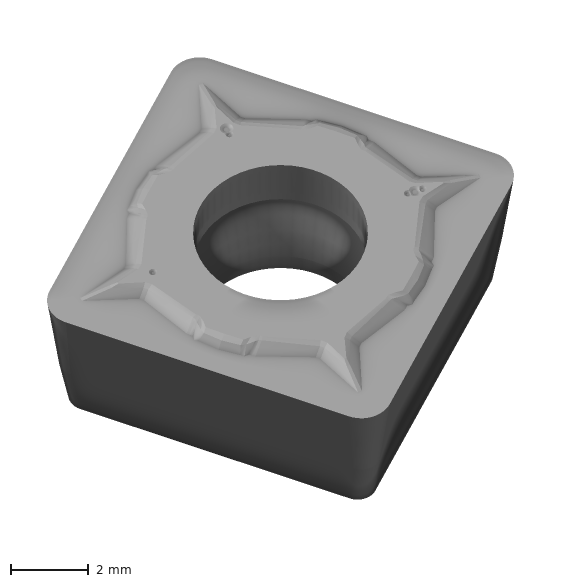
import cadquery as cq
import math

EDGE_LENGTH = 9.53
RIM_HEIGHT = 3.96
TOTAL_HEIGHT = 4.17
CLEARANCE_ANGLE = 7.0
NOSE_RADIUS = 0.8
PARTING_HEIGHT = 1.525

HOLE_DIAMETER = 4.5
BORE_BOTTOM = 2.79
SEAT_START = 0.48
SEAT_RADIUS = 4.57

CREST_HEIGHT = 4.12
HIGH_CREST_HEIGHT = 4.155
FOOT_OUTLINE = [(3.87, 3.95), (2.535, 3.3), (2.4, 3.3), (0.96, 3.88), (0.89, 3.89),
                (0.79, 3.89), (0.705, 3.99), (0.58, 3.99), (0, 4.05)]
CREST_OUTLINE = [(3.3, 3.36), (2.535, 3.03), (2.4, 3.03), (0.96, 3.47), (0.89, 3.49),
                 (0.81, 3.57), (0.64, 3.72), (0.51, 3.8), (0, 3.85)]
LAND_OUTLINE = [(3.16, 3.2), (2.55, 2.89), (2.36, 2.88), (0.93, 3.35), (0.87, 3.35),
                (0.8, 3.37), (0.67, 3.49), (0.52, 3.65), (0, 3.66)]
CREST_HEIGHTS = [CREST_HEIGHT] * 3 + [HIGH_CREST_HEIGHT] * 3 + [CREST_HEIGHT] * 3

DIMPLE_DEPTH = 0.05
SMALL_DIMPLE = (0.105, 0.04)
LARGE_DIMPLE = (0.17, 0.08)
INNER_PLACE = 2.5
MIDDLE_PLACE = 2.64
OUTER_PLACE = 2.78


def inset_from_edge(height):
    """How far the sloping side faces lie inside the cutting edge at this height."""
    return (RIM_HEIGHT - height) * math.tan(math.radians(CLEARANCE_ANGLE))


def rounded_square(height, radius):
    side = EDGE_LENGTH - 2 * inset_from_edge(height)
    location = cq.Location(cq.Vector(0, 0, height))
    return cq.Sketch().rect(side, side).vertices().fillet(radius).moved(location)


def make_body():
    """Conical corners down to the parting height, constant corner radius below it."""
    lower_radius = NOSE_RADIUS - inset_from_edge(PARTING_HEIGHT)
    bottom = rounded_square(0, lower_radius)
    parting = rounded_square(PARTING_HEIGHT, lower_radius)
    rim = rounded_square(RIM_HEIGHT, NOSE_RADIUS)
    lower = cq.Workplane("XY").placeSketch(bottom, parting).loft()
    upper = cq.Workplane("XY").placeSketch(parting, rim).loft()
    return lower.union(upper, clean=False)


def closed_outline(half_corner, heights):
    """Mirror half a corner about its diagonal and repeat it around the four corners."""
    to_side = [(x, y, z) for (x, y), z in zip(half_corner, heights)]
    other_half = [(y, x, z) for x, y, z in to_side[:-1]]
    corner = to_side[::-1] + other_half
    points = []
    for _ in range(4):
        points += [cq.Vector(*point) for point in corner]
        corner = [(y, -x, z) for x, y, z in corner]
    return cq.Wire.makePolygon(points, close=True)


def make_land():
    count = len(FOOT_OUTLINE)
    sections = [
        closed_outline(FOOT_OUTLINE, [RIM_HEIGHT] * count),
        closed_outline(CREST_OUTLINE, CREST_HEIGHTS),
        closed_outline(LAND_OUTLINE, [TOTAL_HEIGHT] * count),
    ]
    return cq.Workplane(cq.Solid.makeLoft(sections, True))


def make_hole():
    """Straight upper bore above a wider curved seat that narrows to the lower bore."""
    radius = HOLE_DIAMETER / 2
    rise = BORE_BOTTOM - SEAT_START

    def seat_point(height):
        return radius + SEAT_RADIUS - math.sqrt(SEAT_RADIUS**2 - height**2), SEAT_START + height

    return (
        cq.Workplane("XZ")
        .lineTo(radius, 0)
        .lineTo(radius, SEAT_START)
        .threePointArc(seat_point(rise / 2), seat_point(rise))
        .lineTo(radius, BORE_BOTTOM)
        .lineTo(radius, TOTAL_HEIGHT)
        .lineTo(0, TOTAL_HEIGHT)
        .close()
        .revolve(360, (0, 0), (0, 1))
    )


def make_dimple(x, y, radii):
    rim_radius, floor_radius = radii
    top = cq.Vector(x, y, TOTAL_HEIGHT)
    return cq.Solid.makeCone(rim_radius, floor_radius, DIMPLE_DEPTH, top, cq.Vector(0, 0, -1))


result = make_body().union(make_land(), clean=False).cut(make_hole(), clean=False)

dimples = [
    (-INNER_PLACE, -INNER_PLACE, SMALL_DIMPLE),
    (-INNER_PLACE, INNER_PLACE, SMALL_DIMPLE),
    (-MIDDLE_PLACE, MIDDLE_PLACE, LARGE_DIMPLE),
    (INNER_PLACE, INNER_PLACE, SMALL_DIMPLE),
    (MIDDLE_PLACE, MIDDLE_PLACE, LARGE_DIMPLE),
    (OUTER_PLACE, OUTER_PLACE, SMALL_DIMPLE),
]
for x, y, radii in dimples:
    result = result.cut(make_dimple(x, y, radii), clean=False)